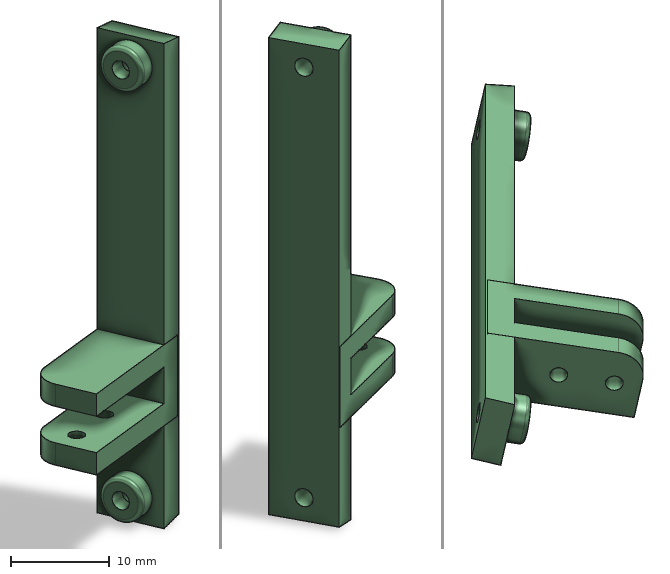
import cadquery as cq

WIDTH = 7.75
PLATE_HEIGHT = 53.95
PLATE_THICKNESS = 3.0
END_TAPER = 0.45

BOSS_DIAMETER = 5.0
BOSS_LENGTH = 2.0
BOSS_EDGE_RADIUS = 0.5
BOSS_HOLE_DIAMETER = 2.0
BOSS_END_DISTANCE = 3.0

BASE_BOTTOM = 11.45
BASE_HEIGHT = 9.0
BACK_SKIN = 0.2
OVERALL_DEPTH = 16.7
ARM_THICKNESS = 2.5
ARM_CORNER_RADIUS = 3.0
ARM_HOLE_DIAMETER = 1.8
ARM_HOLE_TIP_DISTANCES = (2.75, 8.45)

CENTER_X = WIDTH / 2
BOSS_HEIGHTS = (BOSS_END_DISTANCE, PLATE_HEIGHT - BOSS_END_DISTANCE)
BASE_DEPTH = PLATE_THICKNESS - BACK_SKIN
ARM_REACH = OVERALL_DEPTH - BACK_SKIN
LOWER_ARM_BOTTOM = BASE_BOTTOM
UPPER_ARM_BOTTOM = BASE_BOTTOM + BASE_HEIGHT - ARM_THICKNESS


def make_base():
    """Block that is flush with the front and sides of the plate."""
    return cq.Workplane("XY").box(WIDTH, BASE_DEPTH, BASE_HEIGHT, centered=False).translate(
        (0, -PLATE_THICKNESS, BASE_BOTTOM)
    )


def make_arm(bottom):
    """Flat arm reaching forward through the base, with one rounded tip corner."""
    return (
        cq.Workplane("XY")
        .box(WIDTH, ARM_REACH, ARM_THICKNESS, centered=False)
        .translate((0, -OVERALL_DEPTH, bottom))
        .edges("|Z and <X and <Y")
        .fillet(ARM_CORNER_RADIUS)
    )


def make_clevis():
    """Base with two arms; only the lower arm is drilled."""
    holes = (
        cq.Workplane("XY", origin=(CENTER_X, -OVERALL_DEPTH, LOWER_ARM_BOTTOM))
        .pushPoints([(0, distance) for distance in ARM_HOLE_TIP_DISTANCES])
        .circle(ARM_HOLE_DIAMETER / 2)
        .extrude(ARM_THICKNESS)
    )
    lower_arm = make_arm(LOWER_ARM_BOTTOM).cut(holes)
    upper_arm = make_arm(UPPER_ARM_BOTTOM)
    return make_base().union(lower_arm).union(upper_arm).clean()


def make_boss_hole(height):
    """Drill volume running through the plate and a boss."""
    return (
        cq.Workplane("XZ", origin=(CENTER_X, 0, height))
        .circle(BOSS_HOLE_DIAMETER / 2)
        .extrude(PLATE_THICKNESS + BOSS_LENGTH)
    )


def make_boss(height):
    """Drilled boss standing on the plate front, rounded at its free end."""
    return (
        cq.Workplane("XZ", origin=(CENTER_X, -PLATE_THICKNESS, height))
        .circle(BOSS_DIAMETER / 2)
        .extrude(BOSS_LENGTH)
        .faces("<Y")
        .edges()
        .fillet(BOSS_EDGE_RADIUS)
        .cut(make_boss_hole(height))
    )


def make_plate():
    """Plate with tapered ends, a hole behind each boss and a recess for the clevis base."""
    plate = (
        cq.Workplane("YZ")
        .moveTo(-PLATE_THICKNESS, 0)
        .lineTo(0, END_TAPER)
        .lineTo(0, PLATE_HEIGHT - END_TAPER)
        .lineTo(-PLATE_THICKNESS, PLATE_HEIGHT)
        .close()
        .extrude(WIDTH)
    )
    for height in BOSS_HEIGHTS:
        plate = plate.cut(make_boss_hole(height))
    return plate.cut(make_base())


mounting_plate = make_plate()
clevis = make_clevis()
bosses = [make_boss(height) for height in BOSS_HEIGHTS]

result = cq.Compound.makeCompound(
    [
        mounting_plate.solids().val(),
        clevis.solids().val(),
        *[boss.solids().val() for boss in bosses],
    ]
)